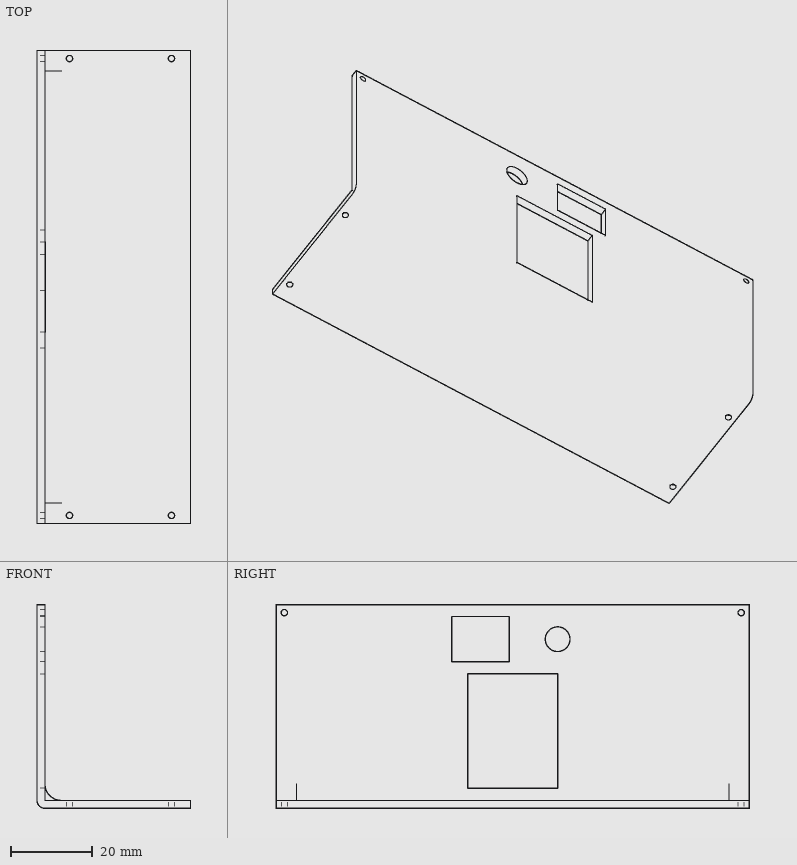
import cadquery as cq

width = 37.7
length = 116.0
height = 50.0
thickness = 2.0
bend_radius = thickness

cove_radius = 4.0
cove_end_gap = 5.0

screw_diameter = 1.5
screw_inset = 2.0
base_screw_first_x = 8.0
base_screw_spacing = 25.0

button_diameter = 6.0
button_y = 11.0
upper_row_z = 41.5

port_y = -7.9
port_width = 14.0
port_height = 11.0

window_width = 22.0
window_height = 28.0
window_sill_z = 5.0
window_z = window_sill_z + window_height / 2

opening_depth = thickness + cove_radius


def make_plates():
    """L-shaped wall and base with a rounded outer bend."""
    wall = cq.Workplane("XY").box(thickness, length, height, centered=(False, True, False))
    base = cq.Workplane("XY").box(width, length, thickness, centered=(False, True, False))
    return wall.union(base).edges("|Y and <X and <Z").fillet(bend_radius)


def make_cove():
    """Concave quarter-round strip filling the inside corner, short of both ends."""
    half_length = length / 2 - cove_end_gap
    return (
        cq.Workplane("XZ", origin=(thickness, 0, thickness))
        .lineTo(cove_radius, 0)
        .radiusArc((0, cove_radius), cove_radius)
        .close()
        .extrude(half_length, both=True)
    )


def wall_hole(y, z, diameter):
    """Round cutter through the wall along X."""
    return cq.Workplane("YZ", origin=(0, y, z)).circle(diameter / 2).extrude(opening_depth)


def wall_opening(y, z, size_y, size_z):
    """Rectangular cutter through the wall along X."""
    return cq.Workplane("YZ", origin=(0, y, z)).rect(size_y, size_z).extrude(opening_depth)


def base_hole(x, y, diameter):
    """Round cutter through the base along Z."""
    return cq.Workplane("XY", origin=(x, y, 0)).circle(diameter / 2).extrude(thickness)


def cut_screw_holes(body):
    """Screw holes near both ends of the wall and the base."""
    screw_y = length / 2 - screw_inset
    for y in (-screw_y, screw_y):
        body = body.cut(wall_hole(y, height - screw_inset, screw_diameter))
        for x in (base_screw_first_x, base_screw_first_x + base_screw_spacing):
            body = body.cut(base_hole(x, y, screw_diameter))
    return body


def cut_wall_openings(body):
    """Button hole, port and window."""
    body = body.cut(wall_hole(button_y, upper_row_z, button_diameter))
    body = body.cut(wall_opening(port_y, upper_row_z, port_width, port_height))
    return body.cut(wall_opening(0, window_z, window_width, window_height))


result = make_plates().union(make_cove())
result = cut_screw_holes(result)
result = cut_wall_openings(result)